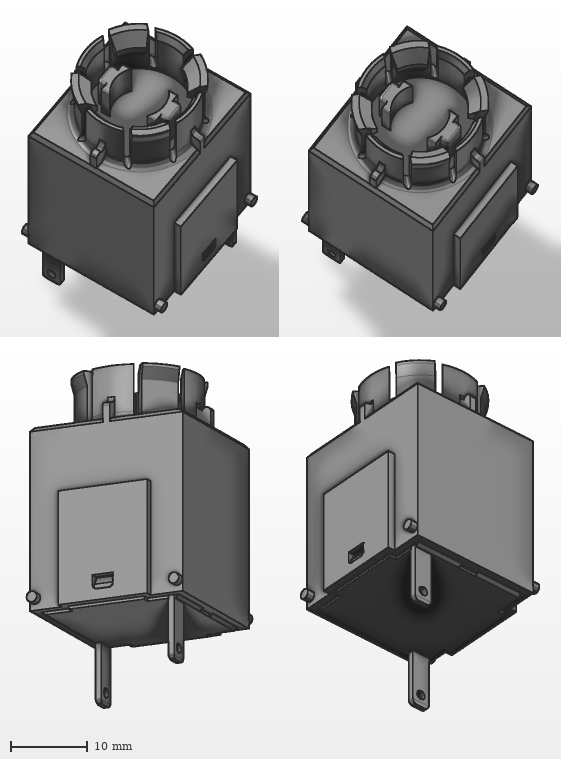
import cadquery as cq
import math

BODY_X = 20.0
BODY_Y = 22.2
BODY_TOP = 25.0
TOP_BEVEL_X = 0.4
TOP_BEVEL_Y = 0.55
TOP_BEVEL_HEIGHT = 0.58

TOTAL_X = 22.2
TOTAL_HEIGHT = 41.15
TERMINAL_DROP = 8.73
RING_TOP = TOTAL_HEIGHT - TERMINAL_DROP
SIDE_STANDOUT = (TOTAL_X - BODY_X) / 2

RING_OUTER_R = 8.5
RING_INNER_R = 14.7 / 2
RING_MOUTH_R = 8.0
MOUTH_BEVEL_HEIGHT = 1.03
FOOT_FILLET = 1.0
WELL_FLOOR = 24.5
SLOT_WIDTH = 0.95
SLOT_OFFSET = 3.025
SLOT_BOTTOM = 25.03

HOOK_HALF_ANGLE = 18.5
FINGER_WIDTH = 2 * SLOT_OFFSET - SLOT_WIDTH
LIP_R = 8.97
LIP_HEIGHT = 0.4
FLARE_HEIGHT = 1.65
HOOK_R = 6.35
HOOK_SLOPE_HEIGHT = 1.73
HOOK_NOSE_HEIGHT = 1.0

RIB_WIDTH = 1.0
RIB_TOP = 27.15
RIB_FILLET = 1.0
RIB_ROUND = BODY_X / 2 - RING_OUTER_R - RIB_FILLET
END_RIB_FILLET = 1.25
END_RIB_SWEEP = 70.0
RIB_BUMP_TOP = 27.6
RIB_Y_REACH = 10.58
BUMP_WIDTH = 1.0

JAW_BORE_R = 3.85
JAW_OUTER_X = 4.35
JAW_WIDTH = 5.02
JAW_TAB_X = 5.72
JAW_TAB_WIDTH = 3.2
JAW_TAB_ROUND = 0.6
JAW_TOP = 29.55
JAW_TAB_EDGE = 0.35
JAW_EDGE = 0.2

PLATE_WIDTH = 12.92
PLATE_HEIGHT = 15.5
WINDOW_WIDTH = 2.95
WINDOW_BOTTOM = 1.52
WINDOW_TOP = 3.45
WINDOW_ROUND = 0.58
LATCH_GAP = 0.15
LATCH_INSET = 0.25
LATCH_RAMP_START = 2.22
LATCH_TIP = 0.12

PIN_D = 1.5
PIN_Y = 10.35
PIN_Z = 1.6

BASE_DROP = 0.4
BASE_X = 17.7
BASE_Y = 20.0
BASE_BEVEL = 0.55
BASE_NOTCH = 2.9
WING_X = 19.85
WING_Y = 10.95

TERMINAL_X = 7.55
TERMINAL_Y = 8.95
TERMINAL_WIDTH = 2.8
TERMINAL_THICKNESS = 0.85
TIP_HEIGHT = 0.58
TIP_CORNER = 0.7
TIP_TAPER = 0.12
TERMINAL_HOLE_D = 1.3
TERMINAL_HOLE_Z = -6.95


def block(x_size, y_size, z_low, z_high):
    """Box centred on the Z axis between two heights."""
    return cq.Workplane("XY").workplane(offset=z_low).rect(x_size, y_size).extrude(z_high - z_low)


def revolve_profile(profile, angle=360.0):
    """Turn a closed (radius, height) profile about Z, starting at the X axis."""
    return profile.close().revolve(angle, (0, 0, 0), (0, 1, 0))


def around(solid, first_angle, step, count):
    """Union of copies of a solid turned about Z."""
    copies = solid.rotate((0, 0, 0), (0, 0, 1), first_angle)
    for index in range(1, count):
        copies = copies.union(solid.rotate((0, 0, 0), (0, 0, 1), first_angle + index * step))
    return copies


def both_sides(solid):
    """The solid together with its copy turned half a turn about Z."""
    return around(solid, 0, 180, 2)


def housing():
    """Housing block with bevelled top edges."""
    shoulder = BODY_TOP - TOP_BEVEL_HEIGHT
    lower = block(BODY_X, BODY_Y, 0, shoulder)
    bevel = (
        cq.Workplane("XY").workplane(offset=shoulder).rect(BODY_X, BODY_Y)
        .workplane(offset=TOP_BEVEL_HEIGHT)
        .rect(BODY_X - 2 * TOP_BEVEL_X, BODY_Y - 2 * TOP_BEVEL_Y)
        .loft(ruled=True)
    )
    return lower.union(bevel)


def collar():
    """Solid collar with its concave foot; the well is cut later."""
    bulge = FOOT_FILLET * (1 - math.sqrt(0.5))
    profile = (
        cq.Workplane("XZ").moveTo(0, WELL_FLOOR)
        .lineTo(RING_OUTER_R + FOOT_FILLET, WELL_FLOOR)
        .lineTo(RING_OUTER_R + FOOT_FILLET, BODY_TOP)
        .threePointArc((RING_OUTER_R + bulge, BODY_TOP + bulge), (RING_OUTER_R, BODY_TOP + FOOT_FILLET))
        .lineTo(RING_OUTER_R, RING_TOP).lineTo(0, RING_TOP)
    )
    return revolve_profile(profile)


def well():
    """Round well of the collar with a flared mouth."""
    profile = (
        cq.Workplane("XZ").moveTo(0, WELL_FLOOR)
        .lineTo(RING_INNER_R, WELL_FLOOR)
        .lineTo(RING_INNER_R, RING_TOP - MOUTH_BEVEL_HEIGHT)
        .lineTo(RING_MOUTH_R, RING_TOP).lineTo(0, RING_TOP)
    )
    return revolve_profile(profile)


def finger_lip():
    """Outward flare and lip of one finger, on the X axis."""
    lip_bottom = RING_TOP - LIP_HEIGHT
    profile = (
        cq.Workplane("XZ").moveTo(RING_MOUTH_R, RING_TOP).lineTo(LIP_R, RING_TOP)
        .lineTo(LIP_R, lip_bottom)
        .lineTo(RING_OUTER_R, lip_bottom - FLARE_HEIGHT)
        .lineTo(RING_MOUTH_R, lip_bottom - FLARE_HEIGHT)
    )
    width_limit = block(2 * LIP_R, FINGER_WIDTH, 0, RING_TOP)
    return revolve_profile(profile).intersect(width_limit.translate((LIP_R, 0, 0)))


def finger_hook():
    """Inward hook of one finger, on the X axis."""
    nose_top = RING_TOP - HOOK_SLOPE_HEIGHT
    nose_bottom = nose_top - HOOK_NOSE_HEIGHT
    wall_r = (RING_INNER_R + RING_OUTER_R) / 2
    profile = (
        cq.Workplane("XZ").moveTo(RING_MOUTH_R, RING_TOP).lineTo(HOOK_R, nose_top)
        .lineTo(HOOK_R, nose_bottom)
        .lineTo(wall_r, nose_bottom).lineTo(wall_r, nose_top)
    )
    hook = revolve_profile(profile, 2 * HOOK_HALF_ANGLE)
    return hook.rotate((0, 0, 0), (0, 0, 1), -HOOK_HALF_ANGLE)


def slot_pair():
    """The two parallel round-bottomed slots beside one finger, on the X axis."""
    radius = SLOT_WIDTH / 2
    height = RING_TOP - SLOT_BOTTOM
    reach = RING_OUTER_R + FOOT_FILLET
    return (
        cq.Workplane("YZ")
        .pushPoints([(-SLOT_OFFSET, SLOT_BOTTOM + radius), (SLOT_OFFSET, SLOT_BOTTOM + radius)])
        .circle(radius).extrude(reach)
        .union(
            cq.Workplane("YZ")
            .pushPoints([(side * SLOT_OFFSET, SLOT_BOTTOM + (height + radius) / 2) for side in (-1, 1)])
            .rect(SLOT_WIDTH, height - radius).extrude(reach)
        )
    )


def rib_start(outer_reach, fillet, sweep):
    """Rib outline from its outer foot inwards, up the collar and down a concave corner arc."""
    root_r = (RING_INNER_R + RING_OUTER_R) / 2
    center_r = RING_OUTER_R + fillet
    center_z = RIB_TOP + fillet

    def arc_point(degrees):
        angle = math.radians(degrees)
        return center_r - fillet * math.cos(angle), center_z - fillet * math.sin(angle)

    return (
        cq.Workplane("XZ").moveTo(outer_reach, BODY_TOP - TOP_BEVEL_HEIGHT)
        .lineTo(root_r, BODY_TOP - TOP_BEVEL_HEIGHT)
        .lineTo(root_r, center_z)
        .lineTo(RING_OUTER_R, center_z)
        .threePointArc(arc_point(sweep / 2), arc_point(sweep))
    )


def side_rib():
    """Rib with a rounded outer corner, flush with the X side of the housing."""
    outer = BODY_X / 2
    round_inset = RIB_ROUND * (1 - math.sqrt(0.5))
    outline = (
        rib_start(outer, RIB_FILLET, 90)
        .threePointArc((outer - round_inset, RIB_TOP - round_inset), (outer, RIB_TOP - RIB_ROUND))
    )
    return outline.close().extrude(RIB_WIDTH / 2, both=True)


def end_rib():
    """Rib with a raised bump at its outer end, drawn on the X axis."""
    bump_middle = RIB_Y_REACH - BUMP_WIDTH / 2
    outline = (
        rib_start(RIB_Y_REACH, END_RIB_FILLET, END_RIB_SWEEP)
        .threePointArc((bump_middle, RIB_BUMP_TOP), (RIB_Y_REACH, RIB_TOP))
    )
    return outline.close().extrude(RIB_WIDTH / 2, both=True)


def jaw():
    """Lamp holder jaw on the +X side, its outer top edges rounded."""
    height = JAW_TOP - WELL_FLOOR
    plane = cq.Workplane("XY").workplane(offset=WELL_FLOOR)
    main = (
        plane.center(JAW_OUTER_X / 2, 0).rect(JAW_OUTER_X, JAW_WIDTH).extrude(height)
        .faces(">Z").edges("|X").fillet(JAW_EDGE)
    )
    tab = (
        plane.center(JAW_TAB_X / 2, 0).rect(JAW_TAB_X, JAW_TAB_WIDTH).extrude(height)
        .edges("|Z and >X").fillet(JAW_TAB_ROUND)
        .faces(">Z").edges("not <X").fillet(JAW_TAB_EDGE)
    )
    return main.union(tab).cut(plane.circle(JAW_BORE_R).extrude(height))


def side_plate():
    """Plate on the +X side, its window holding a ramped latch with a gap at the sides and top."""
    face_x = TOTAL_X / 2
    floor_x = BODY_X / 2
    latch_x = face_x - LATCH_INSET
    latch_width = WINDOW_WIDTH - 2 * LATCH_GAP
    plate = (
        cq.Workplane("XY").box(SIDE_STANDOUT, PLATE_WIDTH, PLATE_HEIGHT, centered=(False, True, False))
        .translate((floor_x, 0, 0))
    )
    window = (
        cq.Workplane("XY")
        .box(SIDE_STANDOUT, WINDOW_WIDTH, WINDOW_TOP - WINDOW_BOTTOM, centered=(False, True, False))
        .translate((floor_x, 0, WINDOW_BOTTOM))
        .edges("|X and <Z").fillet(WINDOW_ROUND)
    )
    latch = (
        cq.Workplane("XZ").moveTo(floor_x, WINDOW_BOTTOM)
        .lineTo(latch_x, WINDOW_BOTTOM)
        .lineTo(latch_x, LATCH_RAMP_START)
        .lineTo(floor_x + LATCH_TIP, WINDOW_TOP - LATCH_GAP)
        .lineTo(floor_x, WINDOW_TOP - LATCH_GAP)
        .close().extrude(latch_width / 2, both=True)
    )
    return plate.cut(window).union(latch.intersect(window))


def pins():
    """Two round pins running through the housing along X."""
    return (
        cq.Workplane("YZ").workplane(offset=-TOTAL_X / 2)
        .pushPoints([(-PIN_Y, PIN_Z), (PIN_Y, PIN_Z)])
        .circle(PIN_D / 2).extrude(TOTAL_X)
    )


def base_plate():
    """Base plate bevelled along Y, notched midway, with a plain wing across X."""
    top_y = BASE_Y / 2
    bottom_y = top_y - BASE_BEVEL
    plate = (
        cq.Workplane("YZ").moveTo(-top_y, 0).lineTo(-bottom_y, -BASE_DROP)
        .lineTo(bottom_y, -BASE_DROP).lineTo(top_y, 0)
        .close().extrude(BASE_X / 2, both=True)
    )
    notches = block(BASE_NOTCH, BASE_Y, -BASE_DROP, 0).cut(
        block(BASE_NOTCH, 2 * bottom_y, -BASE_DROP, 0)
    )
    return plate.cut(notches).union(block(WING_X, WING_Y, -BASE_DROP, 0))


def terminal():
    """Blade at the +X +Y corner with a tapered tip and a cross hole."""
    tip_start = TIP_HEIGHT - TERMINAL_DROP
    blade = (
        block(TERMINAL_WIDTH, TERMINAL_THICKNESS, -TERMINAL_DROP, 0)
        .edges("|Y and <Z").fillet(TIP_CORNER)
    )
    taper = (
        cq.Workplane("YZ").moveTo(-TERMINAL_THICKNESS / 2, 0).lineTo(-TERMINAL_THICKNESS / 2, tip_start)
        .lineTo(TIP_TAPER - TERMINAL_THICKNESS / 2, -TERMINAL_DROP)
        .lineTo(TERMINAL_THICKNESS / 2 - TIP_TAPER, -TERMINAL_DROP)
        .lineTo(TERMINAL_THICKNESS / 2, tip_start).lineTo(TERMINAL_THICKNESS / 2, 0)
        .close().extrude(TERMINAL_WIDTH / 2, both=True)
    )
    hole = (
        cq.Workplane("XZ").center(0, TERMINAL_HOLE_Z)
        .circle(TERMINAL_HOLE_D / 2).extrude(TERMINAL_THICKNESS, both=True)
    )
    return blade.intersect(taper).cut(hole).translate((TERMINAL_X, TERMINAL_Y, 0))


result = (
    housing()
    .union(collar())
    .union(around(finger_lip(), 45, 90, 4))
    .cut(well())
    .union(around(finger_hook(), 45, 90, 4))
    .cut(around(slot_pair(), 45, 90, 4))
    .union(both_sides(side_rib()))
    .union(around(end_rib(), 90, 180, 2))
    .union(both_sides(jaw()))
    .union(both_sides(side_plate()))
    .union(pins())
    .union(base_plate())
    .union(both_sides(terminal()))
)